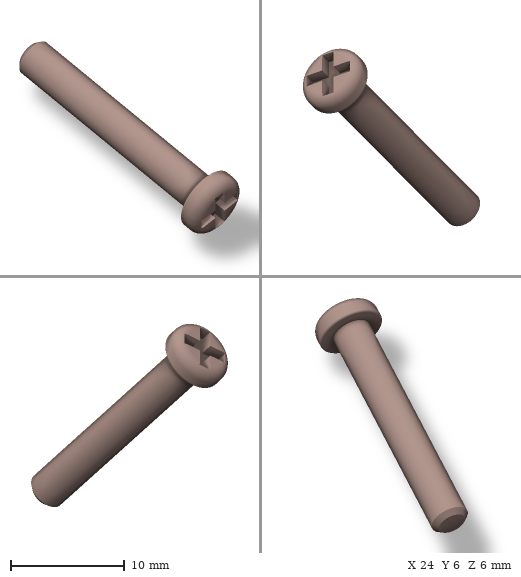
import cadquery as cq
import math

length = 24.0
shank_radius = 1.75
tip_chamfer = 0.48
head_radius = 3.0
head_height = 2.0
bearing_fillet = 0.2
corner_radius = 1.0

recess_span = 4.46
recess_width = 1.15
recess_depth = 1.2

bearing_x = length - head_height
corner_center_x = length - corner_radius
end_face_radius = head_radius - corner_radius
corner_midpoint = (
    corner_center_x + corner_radius * math.cos(math.pi / 4),
    end_face_radius + corner_radius * math.sin(math.pi / 4),
)

profile = (
    cq.Workplane("XY")
    .lineTo(0, shank_radius - tip_chamfer)
    .lineTo(tip_chamfer, shank_radius)
    .lineTo(bearing_x, shank_radius)
    .lineTo(bearing_x, head_radius - bearing_fillet)
    .radiusArc((bearing_x + bearing_fillet, head_radius), bearing_fillet)
    .lineTo(corner_center_x, head_radius)
    .threePointArc(corner_midpoint, (length, end_face_radius))
    .lineTo(length, 0)
    .close()
)

body = profile.revolve(360, (0, 0, 0), (1, 0, 0))

end_plane = cq.Workplane("YZ", origin=(length, 0, 0))
wing_along_y = end_plane.rect(recess_span, recess_width).extrude(-recess_depth)
wing_along_z = end_plane.rect(recess_width, recess_span).extrude(-recess_depth)

result = body.cut(wing_along_y.union(wing_along_z))